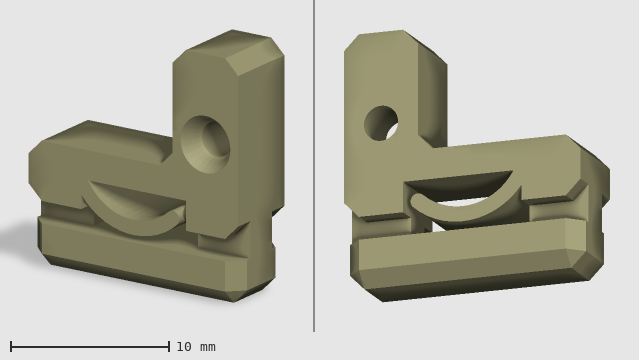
import cadquery as cq
import math

length = 16.0
width = 5.2
height = 16.5
chamfer = 1.0

foot_height = 3.0
web_width = 2.4
body_bottom = 4.5
step_top = 8.5

post_width = 5.0

window_half = 4.0
window_top = 6.5
arm_thickness = 1.0
arm_bottom = 3.5
arm_outer_radius = 5.0
arm_tip_x = 3.0

hole_diameter = 2.3
sink_diameter = 3.8
sink_depth = 1.3
hole_height = 10.5

half_length = length / 2
post_left = half_length - post_width


def extrude_across(sketch, depth):
    """Extrude an XZ sketch along Y, centred on the XZ plane."""
    return sketch.extrude(depth / 2, both=True)


def make_foot():
    """Foot with its lower edges and upright corners chamfered."""
    block = cq.Workplane("XY").box(length, width, foot_height, centered=(True, True, False))
    return block.edges("|Z or <Z").chamfer(chamfer)


def make_web():
    """Narrow web that joins the foot to the body."""
    web_height = body_bottom + chamfer - foot_height
    return (
        cq.Workplane("XY")
        .workplane(offset=foot_height)
        .box(length, web_width, web_height, centered=(True, True, False))
    )


def make_body():
    """L-shaped body: the low step and the upright post."""
    outline = (
        cq.Workplane("XZ")
        .moveTo(-half_length + chamfer, body_bottom)
        .lineTo(half_length - chamfer, body_bottom)
        .lineTo(half_length, body_bottom + chamfer)
        .lineTo(half_length, height - chamfer)
        .lineTo(half_length - chamfer, height)
        .lineTo(post_left + chamfer, height)
        .lineTo(post_left, height - chamfer)
        .lineTo(post_left, step_top + chamfer)
        .lineTo(post_left - chamfer, step_top)
        .lineTo(-half_length + chamfer, step_top)
        .lineTo(-half_length, step_top - chamfer)
        .lineTo(-half_length, body_bottom + chamfer)
        .close()
    )
    return extrude_across(outline, width)


def make_window():
    """Cutter for the window between the foot and the step."""
    window_height = window_top - foot_height
    outline = (
        cq.Workplane("XZ")
        .center(0, foot_height + window_height / 2)
        .rect(2 * window_half, window_height)
    )
    return extrude_across(outline, width)


def make_arm():
    """Spring arm: an arc rooted in the left window wall, with a round free tip."""
    centre_z = arm_bottom + arm_outer_radius
    inner_radius = arm_outer_radius - arm_thickness
    middle_radius = arm_outer_radius - arm_thickness / 2
    tip_angle = math.asin(arm_tip_x / middle_radius)
    root_angle = -math.acos((centre_z - window_top) / arm_outer_radius)

    def arc_point(radius, angle):
        """Point on an arm arc; the angle is measured from straight down toward +X."""
        return (radius * math.sin(angle), centre_z - radius * math.cos(angle))

    tip_overhang = arm_thickness / 2 / middle_radius
    outline = (
        cq.Workplane("XZ")
        .moveTo(*arc_point(inner_radius, root_angle))
        .threePointArc(arc_point(inner_radius, 0), arc_point(inner_radius, tip_angle))
        .threePointArc(
            arc_point(middle_radius, tip_angle + tip_overhang),
            arc_point(arm_outer_radius, tip_angle),
        )
        .threePointArc(arc_point(arm_outer_radius, 0), arc_point(arm_outer_radius, root_angle))
        .close()
    )
    return extrude_across(outline, width)


def make_screw_hole():
    """Cutter for the through hole along Y and its conical countersink on the -Y face."""
    bore_radius = hole_diameter / 2
    sink_radius = sink_diameter / 2
    half_profile = (
        cq.Workplane("XY", origin=(post_left + post_width / 2, -width / 2, hole_height))
        .lineTo(sink_radius, 0)
        .lineTo(bore_radius, sink_depth)
        .lineTo(bore_radius, width)
        .lineTo(0, width)
        .close()
    )
    return half_profile.revolve(360, (0, 0), (0, 1))


rail_and_body = make_foot().union(make_web()).union(make_body())
bracket = rail_and_body.cut(make_window()).union(make_arm())
result = bracket.cut(make_screw_hole())